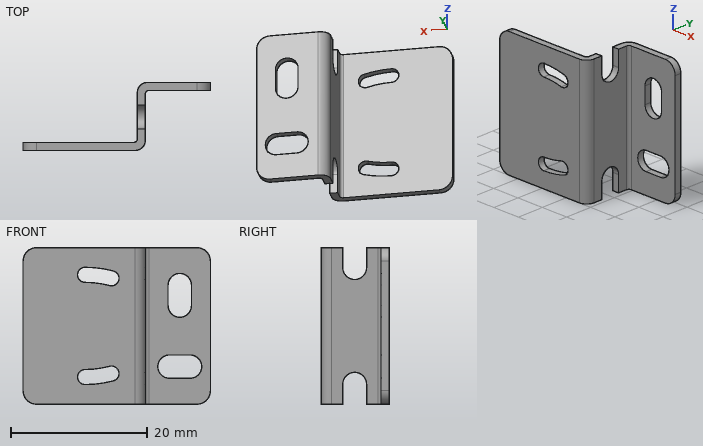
import cadquery as cq
import math

length = 27.5
depth = 10.0
height = 23.0

thickness = 1.2
inner_bend = 0.5
outer_bend = 1.5
web_right = 17.95
web_left = web_right - thickness
corner_radius = 2.0

slot_length = 6.4
slot_width = 3.38
slot_x = 23.0
upper_slot_z = 15.98
lower_slot_z = 5.53

arc_slot_x = 9.1
arc_radius = 15.0
arc_angle = 15.0
arc_slot_width = 2.17

notch_width = 3.46
notch_depth = 4.68
notch_y = 4.92


def z_bent_sheet():
    """Z-shaped sheet profile extruded over the full height."""
    sheet = (
        cq.Workplane("XY")
        .polyline([
            (0, 0),
            (web_right, 0),
            (web_right, depth - thickness),
            (length, depth - thickness),
            (length, depth),
            (web_left, depth),
            (web_left, thickness),
            (0, thickness),
        ])
        .close()
        .extrude(height)
    )

    def bend_edge(x, y):
        return cq.selectors.NearestToPointSelector((x, y, height / 2))

    for x, y, radius in (
        (web_right, 0, outer_bend),
        (web_left, depth, outer_bend),
        (web_right, depth - thickness, inner_bend),
        (web_left, thickness, inner_bend),
    ):
        sheet = sheet.edges("|Z").edges(bend_edge(x, y)).fillet(radius)
    return sheet.edges("|Y and (<X or >X)").fillet(corner_radius)


def front_plane():
    """Sketch plane with local axes along X and Z, extruding towards +Y."""
    return cq.Workplane(cq.Plane(origin=(0, 0, 0), xDir=(1, 0, 0), normal=(0, -1, 0)))


def straight_slot(z, angle):
    """Cutter through the rear flange only."""
    return (
        front_plane()
        .workplane(offset=-(depth - thickness))
        .center(slot_x, z)
        .slot2D(slot_length, slot_width, angle)
        .extrude(-thickness)
    )


def curved_slot(direction):
    """Cutter through the front flange; direction is +1 for the upper slot, -1 for the lower."""
    center_z = height / 2 - direction * arc_radius / 2
    half_width = arc_slot_width / 2

    def on_arc(radius, angle):
        turn = math.radians(angle)
        return (
            arc_slot_x + radius * math.sin(turn),
            center_z + direction * radius * math.cos(turn),
        )

    outer = arc_radius + half_width
    inner = arc_radius - half_width
    end_x, end_z = on_arc(arc_radius, arc_angle)
    end_turn = math.radians(arc_angle)
    far_tip = (
        end_x + half_width * math.cos(end_turn),
        end_z - direction * half_width * math.sin(end_turn),
    )
    near_tip = (arc_slot_x - half_width, center_z + direction * arc_radius)
    return (
        front_plane()
        .moveTo(*on_arc(outer, 0))
        .threePointArc(on_arc(outer, arc_angle / 2), on_arc(outer, arc_angle))
        .threePointArc(far_tip, on_arc(inner, arc_angle))
        .threePointArc(on_arc(inner, arc_angle / 2), on_arc(inner, 0))
        .threePointArc(near_tip, on_arc(outer, 0))
        .close()
        .extrude(-thickness)
    )


def web_notch(end_z):
    """Cutter through the web, running in from the end at end_z."""
    return (
        cq.Workplane("YZ", origin=(web_left, 0, 0))
        .center(notch_y, end_z)
        .slot2D(2 * notch_depth, notch_width, 90)
        .extrude(thickness)
    )


result = z_bent_sheet()
result = result.cut(straight_slot(upper_slot_z, 90))
result = result.cut(straight_slot(lower_slot_z, 0))
for side in (1, -1):
    result = result.cut(curved_slot(side))
for web_end in (0, height):
    result = result.cut(web_notch(web_end))